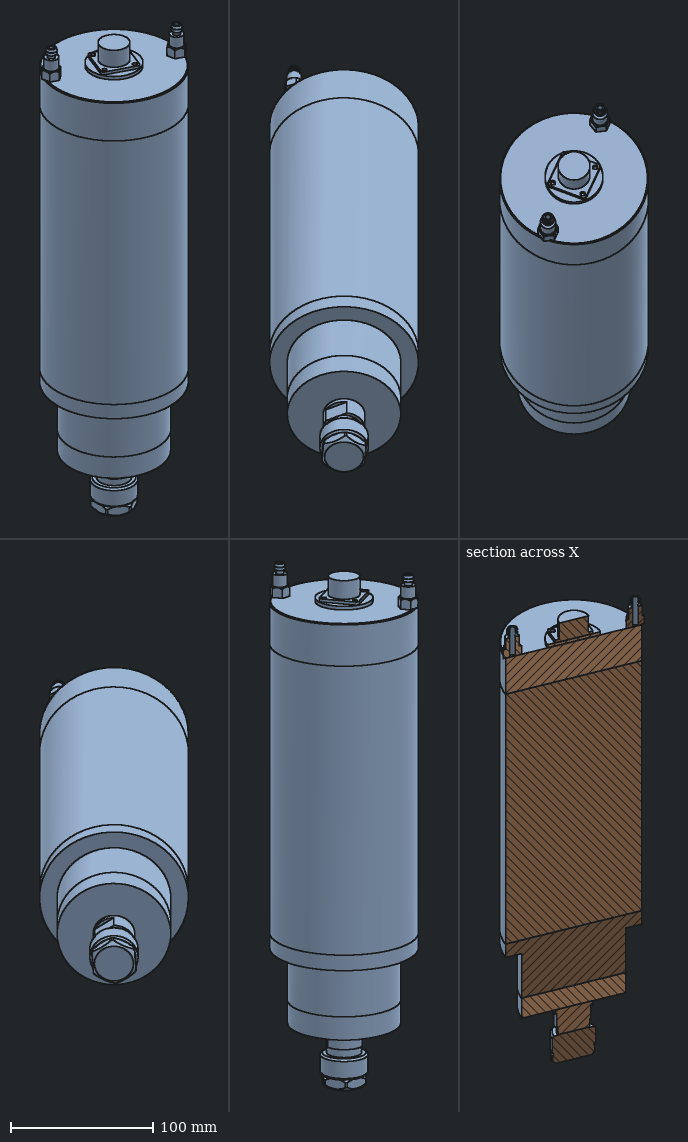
import cadquery as cq
import math


NUT_TOP = 24.0
NECK_TOP = 30.5
NOSE_BOTTOM = 45.8
NOSE_COVER_TOP = 63.0
FLANGE_BOTTOM = 101.0
FLANGE_TOP = 112.5
BARREL_TOP = 326.0
CAP_TOP = 357.5
OVERALL_HEIGHT = 381.5

HEX_SIDES = 6

BODY_DIAMETER = 105.0
NOSE_DIAMETER = 80.0
CAP_CHAMFER = 0.8

SPINDLE_TURN = 22.0
SHAFT_DIAMETER = 29.5
NECK_DIAMETER = 24.8
FLAT_TOP = 42.5
ACROSS_SHAFT_FLATS = 24.5

NUT_DIAMETER = 34.0
COLLAR_BOTTOM = 8.5
COLLAR_CHAMFER = 1.5
NUT_ACROSS_FLATS = 30.0
HEX_SHOULDER_DIAMETER = 31.0
HEX_SHOULDER_HEIGHT = 1.5
TIP_DIAMETER = 27.5
TIP_CONE_HEIGHT = 3.0

PAD_DIAMETER = 41.0
PAD_THICKNESS = 2.5
PLATE_SIDE = 29.0
PLATE_THICKNESS = 2.3
PLATE_CORNER_RADIUS = 2.0
SCREW_HOLE_DIAMETER = 3.5
SCREW_HOLE_SPACING = 23.0
PLUG_DIAMETER = 22.5
PLUG_TOP = 376.0

FITTING_SPAN = 108.7
FITTING_CORNER_RADIUS = 7.2
FITTING_OFFSET = FITTING_SPAN / 2 - FITTING_CORNER_RADIUS
FITTING_HEX_HEIGHT = 7.5
FITTING_HEX_BEVEL_HEIGHT = 1.0
FITTING_SLEEVE_DIAMETER = 10.5
FITTING_SLEEVE_TOP = 374.0
STEM_DIAMETER = 5.7
BARB_DIAMETER = 8.5
BARB_TIP_DIAMETER = 6.5
BARB_HEIGHT = 2.3
BARB_COUNT = 2
FITTING_BORE_DIAMETER = 4.0


def cylinder(diameter, bottom, top):
    """Upright cylinder on the Z axis between two heights."""
    return cq.Workplane("XY").workplane(offset=bottom).circle(diameter / 2).extrude(top - bottom)


def make_rear_cap():
    cap = cylinder(BODY_DIAMETER, BARREL_TOP, CAP_TOP)
    return cap.faces(">Z").edges().chamfer(CAP_CHAMFER)


def make_barrel():
    return cylinder(BODY_DIAMETER, FLANGE_TOP, BARREL_TOP)


def make_front_housing():
    """Bearing housing: a full-width flange with the narrower nose below it."""
    flange = cylinder(BODY_DIAMETER, FLANGE_BOTTOM, FLANGE_TOP)
    nose = cylinder(NOSE_DIAMETER, NOSE_COVER_TOP, FLANGE_BOTTOM)
    return flange.union(nose)


def make_nose_cover():
    return cylinder(NOSE_DIAMETER, NOSE_BOTTOM, NOSE_COVER_TOP)


def make_shaft():
    """Shaft end with two opposite wrench flats, and the neck that meets the nut."""
    journal = cylinder(SHAFT_DIAMETER, NECK_TOP, NOSE_BOTTOM)
    flat_height = FLAT_TOP - NECK_TOP
    cut_offset = (ACROSS_SHAFT_FLATS + SHAFT_DIAMETER) / 2
    for side in (-1, 1):
        flat_cut = (
            cq.Workplane("XY")
            .box(SHAFT_DIAMETER, SHAFT_DIAMETER, flat_height, centered=(True, True, False))
            .translate((0, side * cut_offset, NECK_TOP))
        )
        journal = journal.cut(flat_cut)
    shaft = journal.union(cylinder(NECK_DIAMETER, NUT_TOP, NECK_TOP))
    return shaft.rotate((0, 0, 0), (0, 0, 1), SPINDLE_TURN)


def make_collet_nut():
    collar = cylinder(NUT_DIAMETER, COLLAR_BOTTOM, NUT_TOP).edges().chamfer(COLLAR_CHAMFER)
    across_corners = NUT_ACROSS_FLATS / math.cos(math.pi / HEX_SIDES)
    hexagon = cq.Workplane("XY").polygon(HEX_SIDES, across_corners).extrude(COLLAR_BOTTOM)
    envelope = (
        cq.Workplane("XZ")
        .moveTo(0, 0)
        .lineTo(TIP_DIAMETER / 2, 0)
        .lineTo(NUT_DIAMETER / 2, TIP_CONE_HEIGHT)
        .lineTo(NUT_DIAMETER / 2, COLLAR_BOTTOM - HEX_SHOULDER_HEIGHT)
        .lineTo(HEX_SHOULDER_DIAMETER / 2, COLLAR_BOTTOM)
        .lineTo(0, COLLAR_BOTTOM)
        .close()
        .revolve(360, (0, 0, 0), (0, 1, 0))
    )
    nut = collar.union(hexagon.intersect(envelope))
    return nut.rotate((0, 0, 0), (0, 0, 1), SPINDLE_TURN)


def make_connector_pad():
    return cylinder(PAD_DIAMETER, CAP_TOP, CAP_TOP + PAD_THICKNESS)


def make_connector():
    """Square mounting plate with a screw hole in each corner and a round plug."""
    plate_bottom = CAP_TOP + PAD_THICKNESS
    plate = (
        cq.Workplane("XY")
        .workplane(offset=plate_bottom)
        .rect(PLATE_SIDE, PLATE_SIDE)
        .extrude(PLATE_THICKNESS)
        .edges("|Z")
        .fillet(PLATE_CORNER_RADIUS)
        .faces(">Z")
        .workplane()
        .rect(SCREW_HOLE_SPACING, SCREW_HOLE_SPACING, forConstruction=True)
        .vertices()
        .hole(SCREW_HOLE_DIAMETER)
    )
    return plate.union(cylinder(PLUG_DIAMETER, plate_bottom + PLATE_THICKNESS, PLUG_TOP))


def make_hose_fitting(y):
    """Hexagon base, round sleeve and barbed stem, bored from end to end."""
    hex_top = CAP_TOP + FITTING_HEX_HEIGHT
    base = (
        cq.Workplane("XY")
        .workplane(offset=CAP_TOP)
        .polygon(HEX_SIDES, 2 * FITTING_CORNER_RADIUS)
        .extrude(FITTING_HEX_HEIGHT)
        .rotate((0, 0, 0), (0, 0, 1), 90)
    )
    across_flats = 2 * FITTING_CORNER_RADIUS * math.cos(math.pi / HEX_SIDES)
    shank = cylinder(2 * FITTING_CORNER_RADIUS, CAP_TOP, hex_top)
    bevel = FITTING_CORNER_RADIUS - across_flats / 2
    base = base.intersect(shank.faces(">Z").edges().chamfer(FITTING_HEX_BEVEL_HEIGHT, bevel))
    fitting = base.union(cylinder(FITTING_SLEEVE_DIAMETER, hex_top, FITTING_SLEEVE_TOP))
    fitting = fitting.union(cylinder(STEM_DIAMETER, FITTING_SLEEVE_TOP, OVERALL_HEIGHT))
    for index in range(BARB_COUNT):
        barb_top = OVERALL_HEIGHT - index * BARB_HEIGHT
        barb = (
            cq.Workplane("XY")
            .workplane(offset=barb_top - BARB_HEIGHT)
            .circle(BARB_DIAMETER / 2)
            .workplane(offset=BARB_HEIGHT)
            .circle(BARB_TIP_DIAMETER / 2)
            .loft()
        )
        fitting = fitting.union(barb)
    fitting = fitting.cut(cylinder(FITTING_BORE_DIAMETER, CAP_TOP, OVERALL_HEIGHT))
    return fitting.translate((0, y, 0))


rear_cap = make_rear_cap()
barrel = make_barrel()
front_housing = make_front_housing()
nose_cover = make_nose_cover()
shaft = make_shaft()
collet_nut = make_collet_nut()
connector_pad = make_connector_pad()
connector = make_connector()
hose_fittings = [make_hose_fitting(side * FITTING_OFFSET) for side in (-1, 1)]

result = cq.Compound.makeCompound(
    [
        rear_cap.val(),
        barrel.val(),
        front_housing.val(),
        nose_cover.val(),
        shaft.val(),
        collet_nut.val(),
        connector_pad.val(),
        connector.val(),
        *[fitting.val() for fitting in hose_fittings],
    ]
)